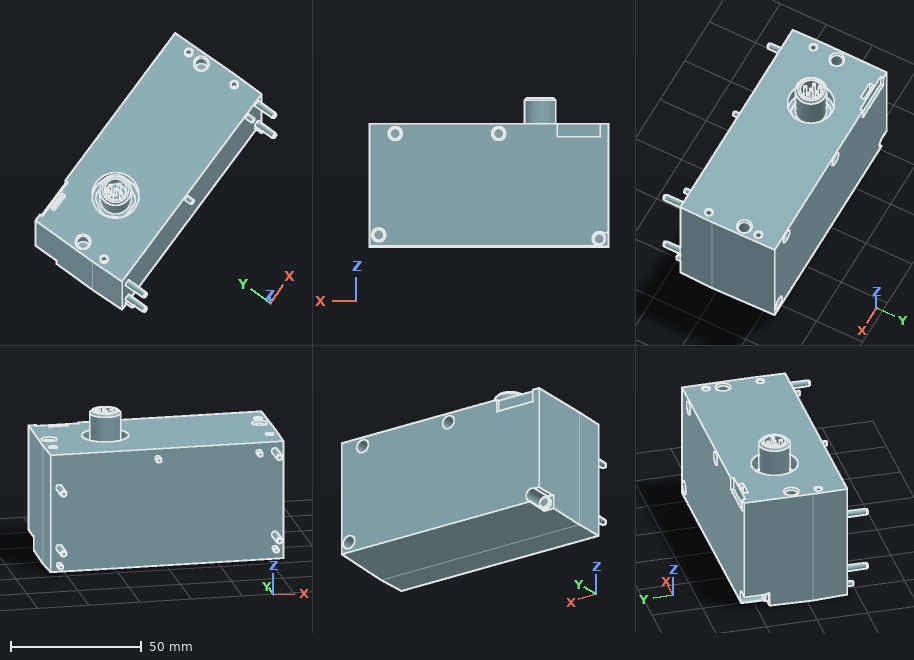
import cadquery as cq
import math

width = 91.48
depth = 40.9
depth_with_pins = 49.75
height = 47.2
parting_y = 13.8
side_draft_front = 1.0
side_draft_rear = 0.5
bottom_draft_front = 2.0
bottom_draft_rear = 1.0

plug_x, plug_y = -19.53, 21.87
plug_top = 57.12
plug_diameter = 12.0
plug_tip_diameter = 10.1
plug_tip_height = 1.0
plug_bore_diameter = 8.3
plug_bore_depth = 8.5
plug_well_diameter = 17.94
plug_well_depth = 6.3
nut_corner_diameter = 15.1
nut_across_flats = 14.1
nut_height = 0.8
contact_diameter = 1.0
contact_pitch_radius = 2.5
key_inner_corner = 2.05
key_outer_corner = 3.1

large_holes = [(-41.6, 21.2), (41.6, 25.7)]
large_hole_diameter = 4.85
large_hole_rim_diameter = 5.9
large_hole_rim_height = 0.9
large_hole_depth = 10.0
small_holes = [(-42.35, 10.7), (42.35, 10.7), (42.35, 32.2)]
small_hole_diameter = 2.5
small_hole_rim_diameter = 3.2
small_hole_rim_height = 0.35
small_hole_depth = 8.0

latch_depth = 5.0
notch_center_x = -34.3
notch_width = 16.5
notch_reach = 1.2
slot_center_x = -34.45
slot_width = 7.1
slot_thickness = 1.5
slot_y = 38.1

left_pin_x, right_pin_x = -42.15, 42.15
low_row_z, high_row_z = 10.15, 43.45
locating_pins = [
    (left_pin_x, low_row_z),
    (left_pin_x, 34.05),
    (right_pin_x, low_row_z),
    (right_pin_x, high_row_z),
]
pin_reach = depth_with_pins - depth
pin_base_diameter = 2.5
pin_end_diameter = 2.35
pin_tip_diameter = 1.69
pin_tip_length = 0.6

corner_screw = (left_pin_x, 3.2)
screws_at = [corner_screw, (right_pin_x, 4.7), (-3.7, high_row_z), (35.85, high_row_z)]
screw_diameter = 2.0
screw_reach = 3.2
screw_end_chamfer = 0.25
head_diameter = 4.6
head_height = 1.5
head_chamfer = 0.3
head_bore_diameter = 5.3
head_bore_depth = 10.0
side_opening_height = 4.6
side_opening_past_axis = 0.9
side_relief_length = 0.7
seat_y = depth - head_bore_depth


def taper(length, degrees):
    return length * math.tan(math.radians(degrees))


def cylinder_z(diameter, bottom, length, x, y):
    return cq.Workplane("XY", origin=(x, y, bottom)).circle(diameter / 2).extrude(length)


def cylinder_y(diameter, start, length, x, z):
    plane = cq.Plane(origin=(x, start, z), xDir=(1, 0, 0), normal=(0, 1, 0))
    return cq.Workplane(plane).circle(diameter / 2).extrude(length)


def box_between(low, high):
    size = [b - a for a, b in zip(low, high)]
    return cq.Workplane("XY").box(*size, centered=False).translate(low)


def block():
    """Block whose sides and underside taper both ways from the parting line."""
    half = width / 2
    rear_length = depth - parting_y
    half_front = half - taper(parting_y, side_draft_front)
    half_rear = half - taper(rear_length, side_draft_rear)
    plan = (
        cq.Workplane("XY")
        .polyline([
            (-half_front, 0), (half_front, 0), (half, parting_y),
            (half_rear, depth), (-half_rear, depth), (-half, parting_y),
        ])
        .close()
        .extrude(height)
    )
    profile = (
        cq.Workplane("YZ")
        .polyline([
            (0, taper(parting_y, bottom_draft_front)), (parting_y, 0),
            (depth, taper(rear_length, bottom_draft_rear)), (depth, height), (0, height),
        ])
        .close()
        .extrude(half, both=True)
    )
    return plan.intersect(profile)


def rimmed_hole(diameter, rim_diameter, rim_height, hole_depth, x, y):
    """Blind hole from the top face with a conical rim."""
    r, rim = diameter / 2, rim_diameter / 2
    bottom = height - hole_depth
    return (
        cq.Workplane("XZ", origin=(x, y, 0))
        .polyline([
            (0, bottom), (r, bottom), (r, height - rim_height), (rim, height), (0, height),
        ])
        .close()
        .revolve(360, (0, 0, 0), (0, 1, 0))
    )


def plug():
    """Hexagon with rounded corners, hollow barrel, contacts and key standing on the floor of the well."""
    floor = height - plug_well_depth
    across_corners = nut_across_flats / math.cos(math.radians(30))
    hexagon = cq.Workplane("XY", origin=(0, 0, floor)).polygon(6, across_corners).extrude(nut_height)
    nut = hexagon.intersect(cylinder_z(nut_corner_diameter, floor, nut_height, 0, 0))
    barrel = cylinder_z(plug_diameter, floor, plug_top - floor, 0, 0)
    barrel = barrel.faces(">Z").chamfer(plug_tip_height, (plug_diameter - plug_tip_diameter) / 2)
    bore_floor = plug_top - plug_bore_depth
    bore = cylinder_z(plug_bore_diameter, bore_floor, plug_bore_depth, 0, 0)
    key = box_between(
        (-key_outer_corner, key_inner_corner, bore_floor),
        (-key_inner_corner, key_outer_corner, plug_top),
    )
    body = nut.union(barrel).cut(bore).union(key)
    contacts = [(0, 0)]
    for angle in range(0, 360, 90):
        a = math.radians(angle)
        contacts.append((contact_pitch_radius * math.cos(a), contact_pitch_radius * math.sin(a)))
    for x, y in contacts:
        body = body.union(cylinder_z(contact_diameter, bore_floor, plug_bore_depth, x, y))
    return body.translate((plug_x, plug_y, 0))


def locating_pin(x, z):
    """Tapered pin with a conical tip, pointing to -Y."""
    shoulder = pin_reach - pin_tip_length
    return (
        cq.Workplane("XY", origin=(x, 0, z))
        .polyline([
            (0, 0), (pin_base_diameter / 2, 0), (pin_end_diameter / 2, -shoulder),
            (pin_tip_diameter / 2, -pin_reach), (0, -pin_reach),
        ])
        .close()
        .revolve(360, (0, 0, 0), (0, 1, 0))
    )


def screw_space(x, z):
    """Shank hole and head bore of one screw."""
    shank = cylinder_y(screw_diameter, 0, depth, x, z)
    bore = cylinder_y(head_bore_diameter, seat_y, head_bore_depth, x, z)
    return shank.union(bore)


def screw(x, z):
    shank = cylinder_y(screw_diameter, -screw_reach, screw_reach + seat_y, x, z)
    shank = shank.faces("<Y").chamfer(screw_end_chamfer)
    head = cylinder_y(head_diameter, seat_y, head_height, x, z)
    head = head.faces(">Y").chamfer(head_chamfer)
    return shank.union(head)


def corner_cutout():
    """Opens the corner screw's bore to the side, the underside and the rear."""
    x, z = corner_screw
    inner_x = x + side_opening_past_axis
    opening = box_between(
        (-width, seat_y, -height),
        (inner_x, depth, z + side_opening_height / 2),
    )
    relief = box_between(
        (-width, seat_y, -height),
        (inner_x, seat_y + side_relief_length, z + head_bore_diameter / 2),
    )
    return opening.union(relief)


def latch_cuts():
    bottom = height - latch_depth
    half_notch, half_slot, half_thick = notch_width / 2, slot_width / 2, slot_thickness / 2
    notch = box_between(
        (notch_center_x - half_notch, depth - notch_reach, bottom),
        (notch_center_x + half_notch, depth, height),
    )
    slot = box_between(
        (slot_center_x - half_slot, slot_y - half_thick, bottom),
        (slot_center_x + half_slot, slot_y + half_thick, height),
    )
    return notch.union(slot)


housing = block()
housing = housing.cut(
    cylinder_z(plug_well_diameter, height - plug_well_depth, plug_well_depth, plug_x, plug_y)
)
housing = housing.union(plug())
for x, y in large_holes:
    hole = rimmed_hole(
        large_hole_diameter, large_hole_rim_diameter, large_hole_rim_height, large_hole_depth, x, y
    )
    housing = housing.cut(hole)
for x, y in small_holes:
    hole = rimmed_hole(
        small_hole_diameter, small_hole_rim_diameter, small_hole_rim_height, small_hole_depth, x, y
    )
    housing = housing.cut(hole)
housing = housing.cut(latch_cuts())
for x, z in locating_pins:
    housing = housing.union(locating_pin(x, z))
for x, z in screws_at:
    housing = housing.cut(screw_space(x, z))
housing = housing.cut(corner_cutout())

screws = [screw(x, z) for x, z in screws_at]

result = cq.Compound.makeCompound([housing.val(), *[s.val() for s in screws]])